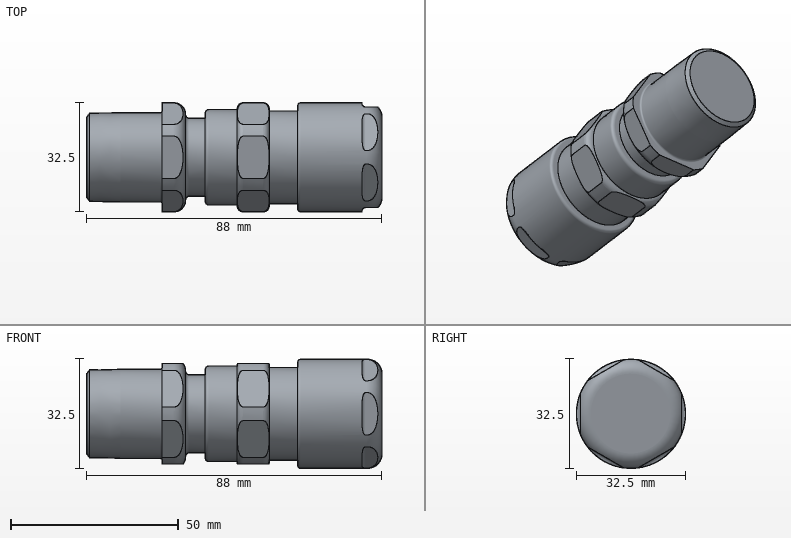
import cadquery as cq
import math


total_length = 87.95
outer_radius = 32.5 / 2
across_flats = 30.0
flat_count = 6

tip_radius = 23.9 / 2
tip_chamfer_length = 0.9
taper_start_radius = 26.3 / 2
shank_radius = 26.65 / 2
taper_end_x = 10.1
shank_root_fillet = 0.5
entry_hex_start_x = 22.4
entry_hex_length = 7.0
entry_hex_rounding = 3.5
neck_radius = 23.3 / 2
neck_fillet = 1.05

collar_start_x = 35.3
collar_radius = 28.5 / 2
collar_rounding = 1.05
middle_hex_start_x = 44.8
middle_hex_length = 9.6
middle_hex_rounding = 1.85
spigot_radius = 27.7 / 2

cap_start_x = 62.8
cap_front_rounding = 0.9
cap_end_rounding = 4.4
cap_flats_start_x = 82.0
cap_flats_fillet = 1.05

entry_hex_end_x = entry_hex_start_x + entry_hex_length
middle_hex_end_x = middle_hex_start_x + middle_hex_length
cap_length = total_length - cap_start_x
flats_length = total_length - cap_flats_start_x


def cylinder(start_x, length, radius):
    """Solid cylinder along X."""
    return cq.Workplane("YZ", origin=(start_x, 0, 0)).circle(radius).extrude(length)


def hexagon_prism(start_x, length):
    """Hexagonal prism along X with flats facing +Z and -Z."""
    across_corners = across_flats / math.cos(math.pi / flat_count)
    return (
        cq.Workplane("YZ", origin=(start_x, 0, 0))
        .polygon(flat_count, across_corners)
        .extrude(length)
    )


def make_entry_fitting():
    shank = (
        cq.Workplane("XY")
        .moveTo(0, 0)
        .lineTo(0, tip_radius)
        .lineTo(tip_chamfer_length, taper_start_radius)
        .lineTo(taper_end_x, shank_radius)
        .lineTo(entry_hex_start_x - shank_root_fillet, shank_radius)
        .radiusArc((entry_hex_start_x, shank_radius + shank_root_fillet), -shank_root_fillet)
        .lineTo(entry_hex_start_x, 0)
        .close()
        .revolve(360, (0, 0, 0), (1, 0, 0))
    )
    hexagon = (
        cylinder(entry_hex_start_x, entry_hex_length, outer_radius)
        .faces(">X").edges().fillet(entry_hex_rounding)
        .intersect(hexagon_prism(entry_hex_start_x, entry_hex_length))
    )
    neck = (
        cq.Workplane("XY")
        .moveTo(entry_hex_end_x, 0)
        .lineTo(entry_hex_end_x, neck_radius + neck_fillet)
        .radiusArc((entry_hex_end_x + neck_fillet, neck_radius), -neck_fillet)
        .lineTo(collar_start_x, neck_radius)
        .lineTo(collar_start_x, 0)
        .close()
        .revolve(360, (0, 0, 0), (1, 0, 0))
    )
    return shank.union(hexagon).union(neck)


def make_middle_body():
    collar = (
        cylinder(collar_start_x, middle_hex_start_x - collar_start_x, collar_radius)
        .faces("<X").edges().fillet(collar_rounding)
    )
    hexagon = (
        cylinder(middle_hex_start_x, middle_hex_length, outer_radius)
        .edges("%CIRCLE").fillet(middle_hex_rounding)
        .intersect(hexagon_prism(middle_hex_start_x, middle_hex_length))
    )
    spigot = cylinder(middle_hex_end_x, cap_start_x - middle_hex_end_x, spigot_radius)
    return collar.union(hexagon).union(spigot)


def make_cap():
    cap = (
        cylinder(cap_start_x, cap_length, outer_radius)
        .faces("<X").edges().fillet(cap_front_rounding)
        .faces(">X").edges().fillet(cap_end_rounding)
    )
    flat_cutter = (
        cq.Workplane("XY")
        .box(flats_length, outer_radius, 2 * outer_radius, centered=(False, False, True))
        .edges("<X and <Y").fillet(cap_flats_fillet)
        .translate((cap_flats_start_x, across_flats / 2, 0))
    )
    for index in range(flat_count):
        angle = index * 360 / flat_count
        cap = cap.cut(flat_cutter.rotate((0, 0, 0), (1, 0, 0), angle))
    return cap


entry_fitting = make_entry_fitting()
middle_body = make_middle_body()
cap = make_cap()

result = cq.Compound.makeCompound([entry_fitting.val(), middle_body.val(), cap.val()])